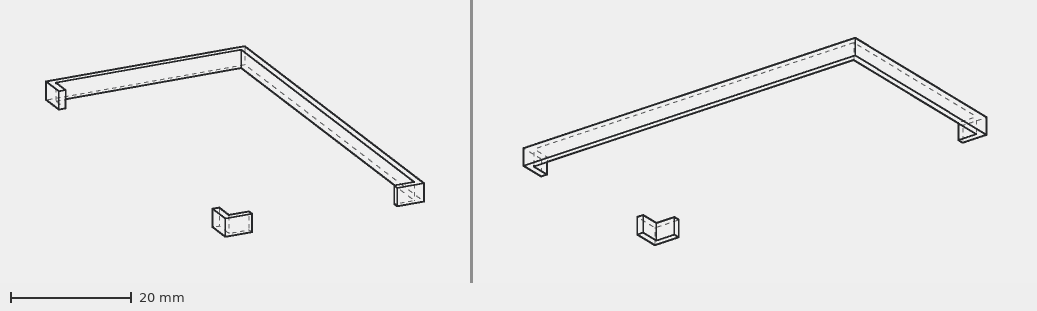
import cadquery as cq

length = 68.5
width = 36.6
height = 3.3
wall = 1.2
return_length = 4.9

left = -length / 2
right = length / 2
front = -width / 2
back = width / 2


def make_long_bracket():
    """Back and left strips, each ending in a short inward leg."""
    outline = [
        (left, front),
        (left + return_length, front),
        (left + return_length, front + wall),
        (left + wall, front + wall),
        (left + wall, back - wall),
        (right - wall, back - wall),
        (right - wall, back - return_length),
        (right, back - return_length),
        (right, back),
        (left, back),
    ]
    return cq.Workplane("XY").polyline(outline).close().extrude(height)


def make_corner_bracket():
    """Separate L with equal legs at the front right corner."""
    outline = [
        (right, front),
        (right, front + return_length),
        (right - wall, front + return_length),
        (right - wall, front + wall),
        (right - return_length, front + wall),
        (right - return_length, front),
    ]
    return cq.Workplane("XY").polyline(outline).close().extrude(height)


long_bracket = make_long_bracket()
corner_bracket = make_corner_bracket()

result = cq.Compound.makeCompound([long_bracket.val(), corner_bracket.val()])